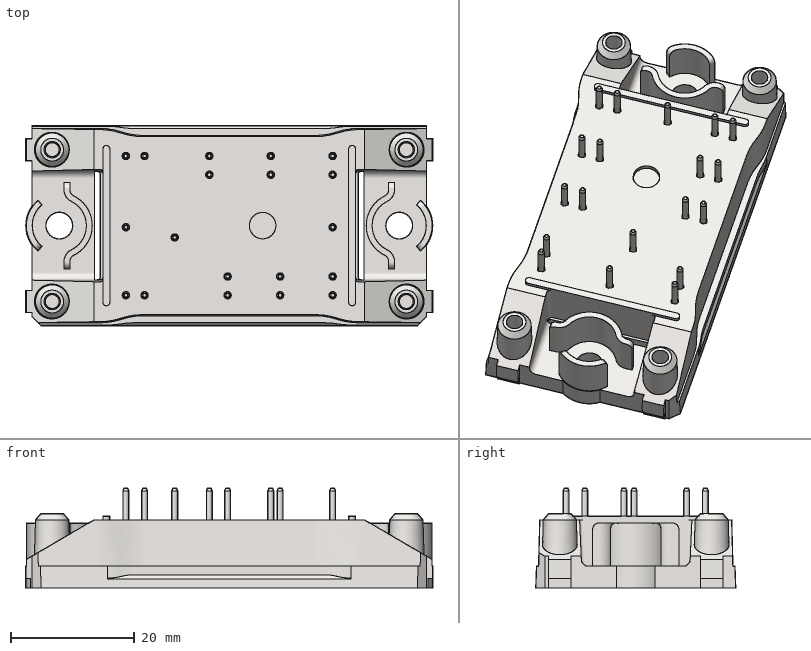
import cadquery as cq
import math

OVERALL_LENGTH = 66.0
OVERALL_WIDTH = 32.5
OVERALL_HEIGHT = 16.25
BODY_LENGTH = 64.0

BASE_TOP = 3.55
BODY_TOP = 11.1
RAIL_TOP = 11.7
BOSS_TOP = 12.1
WALL_TOP = 10.55
TAB_BOTTOM = 1.6

BASE_HALF_TOP = 16.1
HOUSING_HALF_BOTTOM = 15.8
HOUSING_HALF_TOP = 15.6
DRAFT = math.degrees(math.atan((HOUSING_HALF_BOTTOM - HOUSING_HALF_TOP) / (BODY_TOP - BASE_TOP)))

SLOPE_START = 21.9
SLOPE_RATIO = 0.585
CORNER_CHAMFER = 1.5

RELIEF_START = 21.05
RELIEF_FULL = 13.9
RELIEF_HALF_WIDTH = 14.62
SKIRT_RELIEF_START = 19.75
SKIRT_RELIEF_FULL = 15.4
SKIRT_RELIEF_HALF_WIDTH = 15.74
SKIRT_RELIEF_BOTTOM = 1.5
SKIRT_RELIEF_RISE = 0.65

HOLE_X = 27.555
HOLE_DIAMETER = 4.3
POCKET_HALF_BOTTOM = 8.8
POCKET_HALF_TOP = 9.1
POCKET_FLOOR_FILLET = 1.2
POCKET_CORNER_FILLET = 0.45
SLOT_OUTER = 21.85
SLOT_INNER = 20.9

BULGE_RADIUS = OVERALL_LENGTH / 2 - HOLE_X
GUARD_OUTER_RADIUS = BULGE_RADIUS - 0.1
GUARD_INNER_RADIUS = 4.39
GUARD_HALF_ANGLE = 50.0
GUARD_TAIL_X = 1.22
GUARD_TAIL_START = 5.9
GUARD_TAIL_END = 7.0
GUARD_CORNER = 1.05

TAB_Y = 12.31
TAB_WIDTH = 3.6
TAB_DRAFT = 0.1
TAB_FOOT_DEPTH = 0.2
BOSS_X = 28.7
BOSS_Y = 12.31
BOSS_BASE = 3.4
BOSS_BASE_DIAMETER = 5.9
BOSS_SHOULDER_DIAMETER = 5.4
BOSS_TOP_DIAMETER = 3.7
BOSS_HOLE_TOP_DIAMETER = 2.65
BOSS_HOLE_BOTTOM_DIAMETER = 2.25
BOSS_HOLE_DEPTH = 6.6

RAIL_X = 19.9
RAIL_WIDTH = 1.1
RAIL_LENGTH = 26.0
DIMPLE_X = 5.4
DIMPLE_DIAMETER = 4.3
DIMPLE_DEPTH = 0.65

PIN_DIAMETER = 1.0
PIN_CLEARANCE_DIAMETER = 1.2
PIN_CLEARANCE_DEPTH = 0.3
PIN_TIP_INSET = 0.2
PIN_TIP_HEIGHT = 0.45
PIN_ROWS = {
    11.3: (-16.75, -13.7, -3.25, 6.7, 16.75),
    8.25: (-3.25, 6.7, 16.75),
    -0.25: (-16.75, 16.75),
    -1.9: (-8.85,),
    -8.25: (-0.25, 8.25, 16.75),
    -11.3: (-16.75, -13.7, -0.25, 8.25, 16.75),
}
PIN_POINTS = [(x, y) for y, row in PIN_ROWS.items() for x in row]

POCKET_BACK = RAIL_X + RAIL_WIDTH / 2
HALF_LENGTH = OVERALL_LENGTH / 2
BODY_HALF = BODY_LENGTH / 2
HALF_WIDTH = OVERALL_WIDTH / 2
MARGIN = 3.3


def slope_height(x):
    """Height of the sloped end surface at distance x from the centre."""
    return BODY_TOP - SLOPE_RATIO * (x - SLOPE_START)


def both_ends(end):
    """A left-end feature together with its mirror image at the right end."""
    return end.union(end.mirror("YZ"))


def block(x_min, x_max, y_min, y_max, z_min, z_max):
    size = (x_max - x_min, y_max - y_min, z_max - z_min)
    return cq.Workplane("XY").box(*size, centered=False).translate((x_min, y_min, z_min))


def make_housing():
    """Drafted cross-section trimmed to the sloped ends, with two cut corners."""
    right_half = [
        (HALF_WIDTH, 0),
        (BASE_HALF_TOP, BASE_TOP),
        (HOUSING_HALF_BOTTOM, BASE_TOP),
        (HOUSING_HALF_TOP, BODY_TOP),
    ]
    left_half = [(-y, z) for y, z in reversed(right_half)]
    section = cq.Workplane("YZ").polyline(right_half + left_half).close().extrude(BODY_HALF, both=True)

    end_height = slope_height(BODY_HALF)
    side_profile = [
        (-BODY_HALF, 0),
        (BODY_HALF, 0),
        (BODY_HALF, end_height),
        (SLOPE_START, BODY_TOP),
        (-SLOPE_START, BODY_TOP),
        (-BODY_HALF, end_height),
    ]
    profile = cq.Workplane("XZ").polyline(side_profile).close().extrude(HALF_WIDTH, both=True)

    corner = (
        cq.Workplane("XY")
        .moveTo(-BODY_HALF, -HALF_WIDTH)
        .lineTo(-BODY_HALF + CORNER_CHAMFER, -HALF_WIDTH)
        .lineTo(-BODY_HALF, -HALF_WIDTH + CORNER_CHAMFER)
        .close()
        .extrude(BODY_TOP)
    )
    return section.intersect(profile).cut(both_ends(corner))


def relief_outline(height, start, full, outer_y, inner_y):
    """Area on the -Y side outside a wall that eases inward through two tangent arcs."""
    run = start - full
    step = outer_y - inner_y
    arc_radius = (run ** 2 + step ** 2) / (4 * step)
    half_turn = math.atan2(step, run)
    sag_run = arc_radius * math.sin(half_turn)
    sag_step = arc_radius * (1 - math.cos(half_turn))
    middle = ((start + full) / 2, -(outer_y + inner_y) / 2)
    near_start = (start - sag_run, -outer_y + sag_step)
    near_full = (full + sag_run, -inner_y - sag_step)

    def mirrored(point):
        return (-point[0], point[1])

    outer_edge = -HALF_WIDTH - MARGIN
    return (
        cq.Workplane("XY", origin=(0, 0, height))
        .moveTo(-start, outer_edge)
        .lineTo(-start, -outer_y)
        .threePointArc(mirrored(near_start), mirrored(middle))
        .threePointArc(mirrored(near_full), (-full, -inner_y))
        .lineTo(full, -inner_y)
        .threePointArc(near_full, middle)
        .threePointArc(near_start, (start, -outer_y))
        .lineTo(start, outer_edge)
        .close()
    )


def make_side_reliefs():
    """Shallow waists in the housing walls and in the skirt below them."""
    housing_relief = relief_outline(
        BASE_TOP, RELIEF_START, RELIEF_FULL, HOUSING_HALF_BOTTOM, RELIEF_HALF_WIDTH
    ).extrude(BODY_TOP - BASE_TOP, taper=-DRAFT)

    skirt_outer = HALF_WIDTH - (HALF_WIDTH - BASE_HALF_TOP) * SKIRT_RELIEF_BOTTOM / BASE_TOP
    skirt_relief = relief_outline(
        0, SKIRT_RELIEF_START, SKIRT_RELIEF_FULL, BASE_HALF_TOP, SKIRT_RELIEF_HALF_WIDTH
    ).extrude(BASE_TOP)
    sloped_floor = (
        cq.Workplane("YZ")
        .moveTo(-HALF_WIDTH - MARGIN, BASE_TOP)
        .lineTo(-HALF_WIDTH - MARGIN, SKIRT_RELIEF_BOTTOM)
        .lineTo(-skirt_outer, SKIRT_RELIEF_BOTTOM)
        .lineTo(-SKIRT_RELIEF_HALF_WIDTH, SKIRT_RELIEF_BOTTOM + SKIRT_RELIEF_RISE)
        .lineTo(-RELIEF_HALF_WIDTH, SKIRT_RELIEF_BOTTOM + SKIRT_RELIEF_RISE)
        .lineTo(-RELIEF_HALF_WIDTH, BASE_TOP)
        .close()
        .extrude(BODY_HALF, both=True)
    )
    front = housing_relief.union(skirt_relief.intersect(sloped_floor))
    return front.union(front.mirror("XZ"))


def pocket_section(x_min, x_max):
    """Stretch of the pocket along X, its two side walls drafted."""
    return (
        cq.Workplane("YZ", origin=(x_min, 0, 0))
        .moveTo(-POCKET_HALF_BOTTOM, BASE_TOP)
        .lineTo(POCKET_HALF_BOTTOM, BASE_TOP)
        .lineTo(POCKET_HALF_TOP, BODY_TOP)
        .lineTo(-POCKET_HALF_TOP, BODY_TOP)
        .close()
        .extrude(x_max - x_min)
    )


def make_pocket():
    """Open-ended pocket over the mounting floor, with a through slot at its back."""
    front = pocket_section(-HALF_LENGTH - MARGIN, -SLOT_OUTER)
    front = front.faces("<Z").edges("|X").fillet(POCKET_FLOOR_FILLET)
    back = pocket_section(-SLOT_OUTER, -POCKET_BACK)
    back = back.faces(">X").edges("not(|Y)").fillet(POCKET_CORNER_FILLET)
    slot = block(-SLOT_OUTER, -SLOT_INNER, -POCKET_HALF_BOTTOM, POCKET_HALF_BOTTOM, 0, BASE_TOP)
    slot = slot.edges("|Z and >X").fillet(POCKET_CORNER_FILLET)
    hole = cq.Workplane("XY").center(-HOLE_X, 0).circle(HOLE_DIAMETER / 2).extrude(BASE_TOP)
    return front.union(back).union(slot).union(hole)


def make_end_bulge():
    """Rounded base under the outer guard wall, reaching past the end face."""
    disc = cq.Workplane("XY").center(-HOLE_X, 0).circle(BULGE_RADIUS).extrude(BASE_TOP)
    return disc.intersect(block(-HALF_LENGTH, -BODY_HALF, -HALF_WIDTH, HALF_WIDTH, 0, BASE_TOP))


def polar(radius, degrees):
    angle = math.radians(degrees)
    return (radius * math.cos(angle), radius * math.sin(angle))


def make_outer_guard():
    """Arc wall on the outer side of the mounting hole, with rounded top corners."""
    first = 180 - GUARD_HALF_ANGLE
    last = 180 + GUARD_HALF_ANGLE
    wall = (
        cq.Workplane("XY", origin=(-HOLE_X, 0, BASE_TOP))
        .moveTo(*polar(GUARD_OUTER_RADIUS, first))
        .threePointArc((-GUARD_OUTER_RADIUS, 0), polar(GUARD_OUTER_RADIUS, last))
        .lineTo(*polar(GUARD_INNER_RADIUS, last))
        .threePointArc((-GUARD_INNER_RADIUS, 0), polar(GUARD_INNER_RADIUS, first))
        .close()
        .extrude(WALL_TOP - BASE_TOP)
    )
    return wall.faces(">Z").edges("%LINE").fillet(GUARD_CORNER)


def make_inner_guard():
    """Arc wall on the inner side of the hole, flaring into two straight tails."""
    thickness = GUARD_OUTER_RADIUS - GUARD_INNER_RADIUS
    ring = (GUARD_OUTER_RADIUS + GUARD_INNER_RADIUS) / 2

    flare = (GUARD_TAIL_X ** 2 + GUARD_TAIL_START ** 2 - ring ** 2) / (2 * (ring - GUARD_TAIL_X))
    flare_x = GUARD_TAIL_X + flare
    joint = math.degrees(math.atan2(GUARD_TAIL_START, flare_x))
    flare_middle = polar(flare, 180 + joint / 2)

    def flare_point(offset):
        scale = (flare + offset) / flare
        return (flare_x + flare_middle[0] * scale, GUARD_TAIL_START + flare_middle[1] * scale)

    def below(point):
        return (point[0], -point[1])

    left = GUARD_TAIL_X - thickness / 2
    right = GUARD_TAIL_X + thickness / 2
    outer_joint = polar(GUARD_OUTER_RADIUS, joint)
    inner_joint = polar(GUARD_INNER_RADIUS, joint)
    outer_flare = flare_point(-thickness / 2)
    inner_flare = flare_point(thickness / 2)
    wall = (
        cq.Workplane("XY", origin=(-HOLE_X, 0, BASE_TOP))
        .moveTo(left, GUARD_TAIL_END)
        .lineTo(right, GUARD_TAIL_END)
        .lineTo(right, GUARD_TAIL_START)
        .threePointArc(outer_flare, outer_joint)
        .threePointArc((GUARD_OUTER_RADIUS, 0), below(outer_joint))
        .threePointArc(below(outer_flare), (right, -GUARD_TAIL_START))
        .lineTo(right, -GUARD_TAIL_END)
        .lineTo(left, -GUARD_TAIL_END)
        .lineTo(left, -GUARD_TAIL_START)
        .threePointArc(below(inner_flare), below(inner_joint))
        .threePointArc((GUARD_INNER_RADIUS, 0), inner_joint)
        .threePointArc(inner_flare, (left, GUARD_TAIL_START))
        .close()
        .extrude(WALL_TOP - BASE_TOP)
    )
    return wall.faces(">Z").edges("|X").fillet(GUARD_CORNER)


def make_tab(y):
    """Small tab on the end face whose top continues the sloped surface, above a thin pad."""
    top_end = HALF_LENGTH - TAB_DRAFT
    return (
        cq.Workplane("XZ", origin=(0, y, 0))
        .moveTo(-BODY_HALF, 0)
        .lineTo(-BODY_HALF - TAB_FOOT_DEPTH, 0)
        .lineTo(-BODY_HALF - TAB_FOOT_DEPTH, TAB_BOTTOM)
        .lineTo(-HALF_LENGTH, TAB_BOTTOM)
        .lineTo(-top_end, slope_height(top_end))
        .lineTo(-BODY_HALF, slope_height(BODY_HALF))
        .close()
        .extrude(TAB_WIDTH / 2, both=True)
    )


def make_boss():
    """Drafted round boss with a conical shoulder, on the Z axis."""
    return (
        cq.Workplane("XZ")
        .moveTo(0, BOSS_BASE)
        .lineTo(BOSS_BASE_DIAMETER / 2, BOSS_BASE)
        .lineTo(BOSS_SHOULDER_DIAMETER / 2, BODY_TOP)
        .lineTo(BOSS_TOP_DIAMETER / 2, BOSS_TOP)
        .lineTo(0, BOSS_TOP)
        .close()
        .revolve(360, (0, 0, 0), (0, 1, 0))
    )


def make_boss_hole():
    """Drafted blind hole of a boss, on the Z axis."""
    return (
        cq.Workplane("XY", origin=(0, 0, BOSS_TOP - BOSS_HOLE_DEPTH))
        .circle(BOSS_HOLE_BOTTOM_DIAMETER / 2)
        .workplane(offset=BOSS_HOLE_DEPTH)
        .circle(BOSS_HOLE_TOP_DIAMETER / 2)
        .loft()
    )


def make_pin():
    """Contact pin with a conical tip, on the Z axis."""
    foot = BODY_TOP - 2 * PIN_CLEARANCE_DEPTH
    radius = PIN_DIAMETER / 2
    return (
        cq.Workplane("XZ")
        .moveTo(0, foot)
        .lineTo(radius, foot)
        .lineTo(radius, OVERALL_HEIGHT - PIN_TIP_HEIGHT)
        .lineTo(radius - PIN_TIP_INSET, OVERALL_HEIGHT)
        .lineTo(0, OVERALL_HEIGHT)
        .close()
        .revolve(360, (0, 0, 0), (0, 1, 0))
    )


result = make_housing().cut(make_side_reliefs()).cut(both_ends(make_pocket()))

for feature in (make_end_bulge(), make_outer_guard(), make_inner_guard()):
    result = result.union(both_ends(feature))

for side in (-1, 1):
    result = result.union(both_ends(make_tab(side * TAB_Y)))
    boss_place = (-BOSS_X, side * BOSS_Y, 0)
    result = result.union(both_ends(make_boss().translate(boss_place)))
    result = result.cut(both_ends(make_boss_hole().translate(boss_place)))

rail = (
    cq.Workplane("XY", origin=(-RAIL_X, 0, BODY_TOP))
    .slot2D(RAIL_LENGTH, RAIL_WIDTH, 90)
    .extrude(RAIL_TOP - BODY_TOP)
)
result = result.union(both_ends(rail))

dimple = cq.Workplane("XY", origin=(DIMPLE_X, 0, BODY_TOP)).circle(DIMPLE_DIAMETER / 2).extrude(-DIMPLE_DEPTH)
result = result.cut(dimple)

pin_clearances = (
    cq.Workplane("XY", origin=(0, 0, BODY_TOP))
    .pushPoints(PIN_POINTS)
    .circle(PIN_CLEARANCE_DIAMETER / 2)
    .extrude(-PIN_CLEARANCE_DEPTH)
)
result = result.cut(pin_clearances)
for x, y in PIN_POINTS:
    result = result.union(make_pin().translate((x, y, 0)))